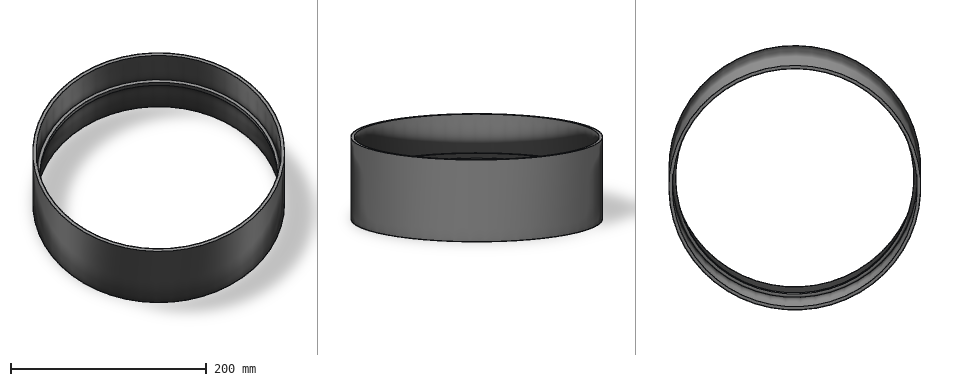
import cadquery as cq

outer_diameter = 257.0
socket_diameter = 250.0
stop_diameter = 243.0
stop_height = 5.0
socket_depth = 40.0
total_height = 2 * socket_depth + stop_height


def ring(outside, inside, base_z, height):
    """Ring about the Z axis with its lower face at base_z."""
    return (
        cq.Workplane("XY", origin=(0, 0, base_z))
        .circle(outside / 2)
        .circle(inside / 2)
        .extrude(height)
    )


sleeve = ring(outer_diameter, socket_diameter, 0, total_height)

stop = ring(outer_diameter, stop_diameter, socket_depth, stop_height)

result = sleeve.union(stop)